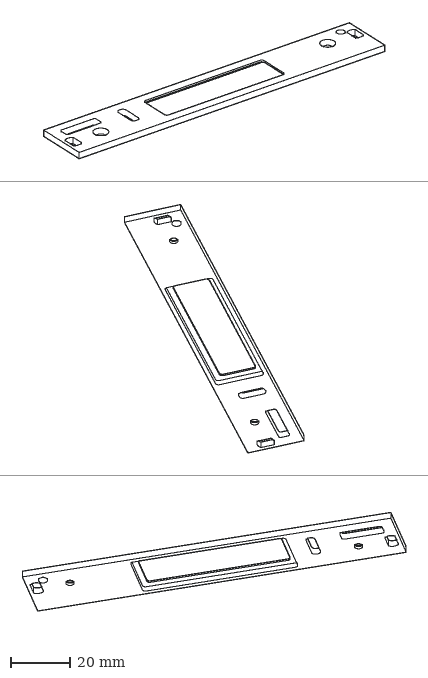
import cadquery as cq

length = 128.4
width = 20.0
thickness = 2.5

window_width = 12.8
window_length = 50.0
window_corner_radius = 1.0

lip_thickness = 0.6
recess_margin = 2.0
recess_width = window_width + 2 * recess_margin
recess_length = window_length + 2 * recess_margin
recess_depth = thickness - lip_thickness

mount_slot_width = 6.0
mount_slot_height = 3.5
mount_slot_bow = 0.6
mount_x = 2.6
mount_slot_y = length / 2 - 3.1

screw_diameter = 2.8
countersink_diameter = 5.4
countersink_angle = 82
screw_y = 49.5

pin_diameter = 3.1
pin_center = (-6.4, 57.9)

cross_slot_width = 9.4
cross_slot_height = 3.1
cross_slot_corner_radius = 1.3
cross_slot_center = (-1.5, -34.9)
long_slot_width = 3.9
long_slot_height = 14.8
long_slot_corner_radius = 0.8
long_slot_center = (-4.5, -52.6)


def rounded_opening(center, size_x, size_y, corner_radius, depth=thickness):
    """Cutter with rounded corners, reaching up from the bottom face."""
    return (
        cq.Workplane("XY")
        .center(*center)
        .rect(size_x, size_y)
        .extrude(depth)
        .edges("|Z")
        .fillet(corner_radius)
    )


def bowed_slot(center, size_x, size_y, bow):
    """Cutter for a through slot along X whose ends are shallow outward arcs."""
    tip_x = size_x / 2
    corner_x = tip_x - bow
    corner_y = size_y / 2
    return (
        cq.Workplane("XY")
        .center(*center)
        .moveTo(-corner_x, -corner_y)
        .lineTo(corner_x, -corner_y)
        .threePointArc((tip_x, 0), (corner_x, corner_y))
        .lineTo(-corner_x, corner_y)
        .threePointArc((-tip_x, 0), (-corner_x, -corner_y))
        .close()
        .extrude(thickness)
    )


plate = cq.Workplane("XY").box(width, length, thickness, centered=(True, True, False))

plate = plate.cut(rounded_opening((0, 0), window_width, window_length, window_corner_radius))
plate = plate.cut(
    rounded_opening((0, 0), recess_width, recess_length, window_corner_radius, recess_depth)
)

plate = plate.cut(
    rounded_opening(cross_slot_center, cross_slot_width, cross_slot_height, cross_slot_corner_radius)
)
plate = plate.cut(
    rounded_opening(long_slot_center, long_slot_width, long_slot_height, long_slot_corner_radius)
)

for side in (-1, 1):
    slot_center = (side * mount_x, -side * mount_slot_y)
    plate = plate.cut(bowed_slot(slot_center, mount_slot_width, mount_slot_height, mount_slot_bow))

top_plane = cq.Workplane("XY", origin=(0, 0, thickness))
plate = plate.cut(top_plane.center(*pin_center).circle(pin_diameter / 2).extrude(-thickness))

result = (
    plate.faces(">Z")
    .workplane(origin=(0, 0, thickness))
    .pushPoints([(-mount_x, screw_y), (mount_x, -screw_y)])
    .cskHole(screw_diameter, countersink_diameter, countersink_angle)
)